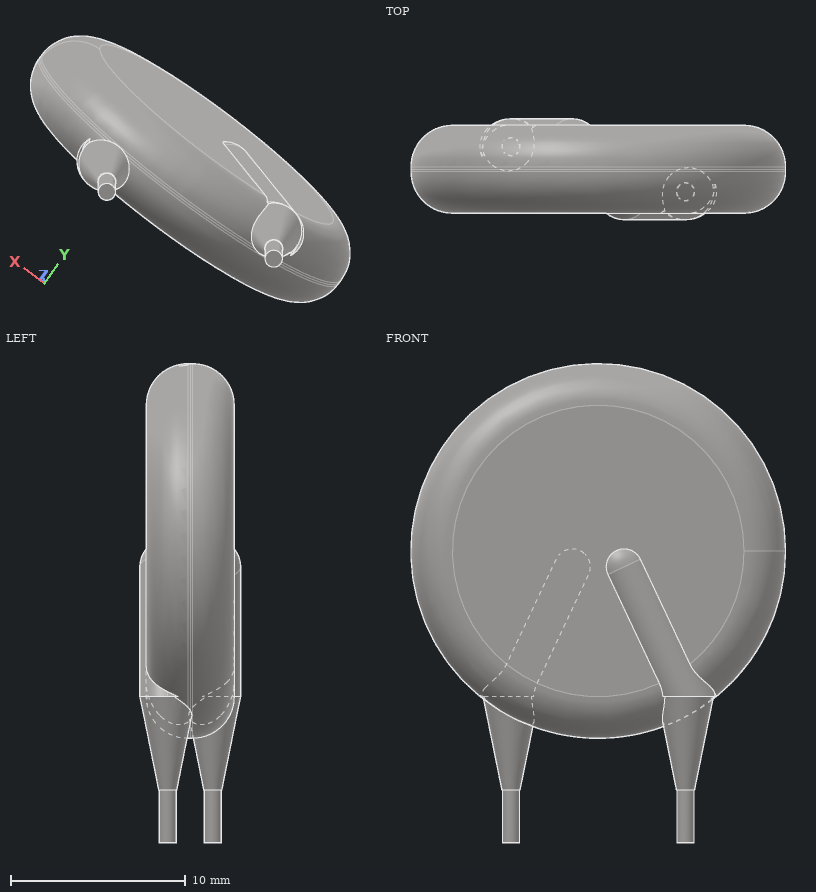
import cadquery as cq

DISC_RADIUS = 10.75
DISC_THICKNESS = 5.05
EDGE_RADIUS = 2.4

LEAD_X = 5.0
LEAD_Y = 1.3
WIRE_RADIUS = 0.5
WIRE_LENGTH = 3.02
OVERALL_HEIGHT = 27.5

RIDGE_RADIUS = 1.608
RIDGE_TIP_X = 1.48
RIDGE_TIP_Z = -0.9
CONE_TOP_Z = -8.35
CONE_TIP_RADIUS = 0.52

WIRE_BOTTOM_Z = DISC_RADIUS - OVERALL_HEIGHT
CONE_TIP_Z = WIRE_BOTTOM_Z + WIRE_LENGTH
LEAD_SIDES = (1, -1)


def make_disc():
    """Round disc with a large rounding on both rims, leaving a narrow flat band."""
    return (
        cq.Workplane("XZ")
        .circle(DISC_RADIUS)
        .extrude(DISC_THICKNESS / 2, both=True)
        .edges()
        .fillet(EDGE_RADIUS)
    )


def make_ridge(side):
    """Slanted round bar with a ball end, cut level at the top of the cone."""
    tip = cq.Vector(side * RIDGE_TIP_X, -side * LEAD_Y, RIDGE_TIP_Z)
    foot = cq.Vector(side * LEAD_X, -side * LEAD_Y, CONE_TOP_Z)
    axis = foot - tip
    bar_length = axis.Length + RIDGE_RADIUS
    bar = cq.Workplane(cq.Solid.makeCylinder(RIDGE_RADIUS, bar_length, tip, axis))
    ball = cq.Workplane("XY").sphere(RIDGE_RADIUS).translate(tip.toTuple())
    below_cone_top = (
        cq.Workplane("XY", origin=(0, 0, CONE_TOP_Z))
        .rect(2 * DISC_RADIUS, 2 * DISC_RADIUS)
        .extrude(-DISC_RADIUS)
    )
    return bar.union(ball).cut(below_cone_top)


def make_cone(side):
    """Cone that narrows downward from the ridge to the wire."""
    return cq.Workplane(
        cq.Solid.makeCone(
            RIDGE_RADIUS,
            CONE_TIP_RADIUS,
            CONE_TOP_Z - CONE_TIP_Z,
            cq.Vector(side * LEAD_X, -side * LEAD_Y, CONE_TOP_Z),
            cq.Vector(0, 0, -1),
        )
    )


def make_coating():
    """Disc, ridges and cones as one body."""
    coating = make_disc()
    for side in LEAD_SIDES:
        coating = coating.union(make_ridge(side)).union(make_cone(side))
    return coating


def make_wire(side):
    """Bare wire that starts at the tip of the cone."""
    return (
        cq.Workplane("XY", origin=(side * LEAD_X, -side * LEAD_Y, WIRE_BOTTOM_Z))
        .circle(WIRE_RADIUS)
        .extrude(WIRE_LENGTH)
    )


coating = make_coating()
wires = [make_wire(side) for side in LEAD_SIDES]

result = cq.Compound.makeCompound([coating.val(), *[wire.val() for wire in wires]])